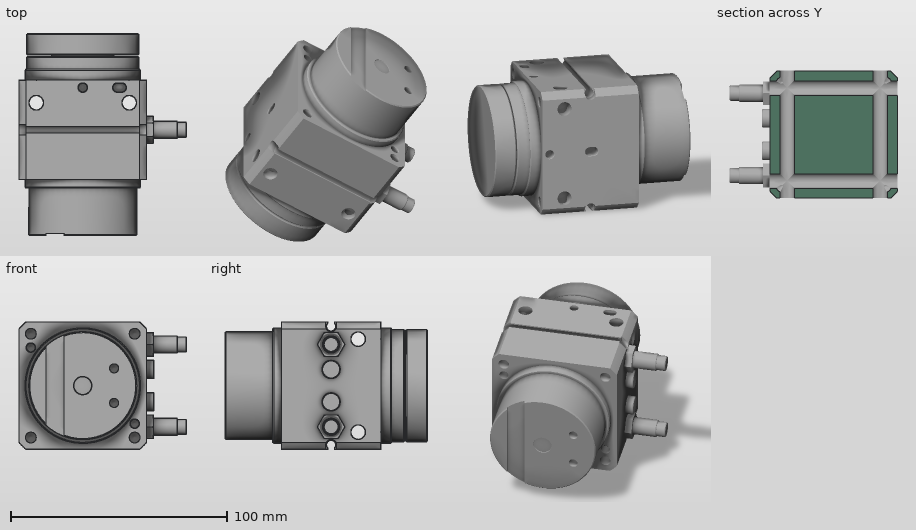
import cadquery as cq
import math

block_side = 59.0
block_length = 46.0
corner_diameter = 79.0
half_side = block_side / 2
half_length = block_length / 2
corner_edge = math.sqrt((corner_diameter / 2) ** 2 - half_side ** 2)

edge_chamfer = 0.5
collar_diameter = 53.5
front_collar_end = -27.0
rear_collar_end = 28.0
nose_diameter = 50.0
nose_end = -49.0
ring_diameter = 52.0
ring_end = 34.0

flange_gap = 0.5
flange_start = ring_end + flange_gap
flange_length = 10.0
flange_neck_diameter = 29.0

nose_slot_left = -16.9
nose_slot_right = -8.6
nose_slot_depth = 1.0
centre_recess_diameter = 8.2
centre_recess_rim = 8.5
centre_recess_depth = 0.3
nose_hole_diameter = 4.2
nose_hole_depth = 8.0
nose_hole_x = 14.5
nose_hole_z = 8.0

drill_tip_angle = 118.0
mount_hole_diameter = 5.0
mount_hole_depth = 12.0
mount_hole_offset = 24.0
dowel_diameter = 4.0
dowel_depth = 6.0
dowel_chamfer = 0.2
chamfer_angle = 45.0
front_dowel_z = 17.6

bore_diameter = 6.6
bore_offset = 21.5
bore_y = 12.5
side_dowel_y = 19.5
slot_travel = 2.0
top_slot_x = 17.0
side_slot_y = -0.5

groove_diameter = 4.2
groove_opening = 3.0
groove_axis_z = 27.4
groove_mouth_width = 5.0

plug_z = 19.05
nut_across_flats = 11.0
nut_thickness = 3.2
nut_bevel_diameter = 12.2
plug_diameter = 8.0
plug_end = 43.8
plug_tip_diameter = 7.0
plug_tip_end = 48.0
plug_chamfer = 0.3
screw_z = 7.5
screw_diameter = 8.5
screw_end = 33.0


def y_cylinder(diameter, start, end):
    """Cylinder on the Y axis between two Y positions, in either order."""
    plane = cq.Plane(origin=(0, start, 0), xDir=(1, 0, 0), normal=(0, math.copysign(1, end - start), 0))
    return cq.Workplane(plane).circle(diameter / 2).extrude(abs(end - start))


def x_cylinder(diameter, start, end, z):
    """Cylinder parallel to X, at Y = 0, between two X positions."""
    return cq.Workplane("YZ", origin=(start, 0, z)).circle(diameter / 2).extrude(end - start)


def drilled_hole(diameter, depth, x, face_y, z, chamfer=0.0):
    """Blind hole cut toward +Y with a conical bottom and a chamfered mouth."""
    radius = diameter / 2
    tip = radius / math.tan(math.radians(drill_tip_angle / 2))
    outline = cq.Workplane("XY").lineTo(radius + chamfer, 0)
    if chamfer:
        outline = outline.lineTo(radius, chamfer)
    outline = outline.lineTo(radius, depth).lineTo(0, depth + tip).close()
    return outline.revolve(360, (0, 0), (0, 1)).translate((x, face_y, z))


def dowel_cutter(plane, travel=0.0):
    """Round or slotted dowel recess with a chamfered mouth, cut inward from a plane facing outward."""

    def outline(width):
        if travel:
            return cq.Workplane(plane).slot2D(travel + width, width)
        return cq.Workplane(plane).circle(width / 2)

    recess = outline(dowel_diameter).extrude(-dowel_depth)
    mouth = outline(dowel_diameter + 2 * dowel_chamfer).extrude(-dowel_chamfer, taper=chamfer_angle)
    return recess.union(mouth)


def sensor_groove(side):
    """Keyhole groove along X, opened to the top (side = 1) or bottom (side = -1) face."""
    axis_z = side * groove_axis_z

    def channel(diameter, opening, start, end):
        opening_height = half_side - groove_axis_z
        bore = x_cylinder(diameter, start, end, axis_z)
        mouth = cq.Workplane("XY").box(end - start, opening, opening_height)
        mouth_z = axis_z + side * opening_height / 2
        return bore.union(mouth.translate(((start + end) / 2, 0, mouth_z)))

    groove = channel(groove_diameter, groove_opening, -half_side, half_side)
    for start, end in ((-half_side, -corner_edge), (corner_edge, half_side)):
        groove = groove.union(channel(groove_mouth_width, groove_mouth_width, start, end))
    return groove


def block():
    square = cq.Workplane("XY").box(block_side, block_length, block_side)
    return square.intersect(y_cylinder(corner_diameter, -half_length, half_length))


def turned_steps():
    front_collar = y_cylinder(collar_diameter, 0, front_collar_end).faces("<Y").chamfer(edge_chamfer)
    nose = y_cylinder(nose_diameter, 0, nose_end).faces("<Y").chamfer(edge_chamfer)
    rear_collar = y_cylinder(collar_diameter, 0, rear_collar_end).faces(">Y").chamfer(edge_chamfer)
    ring = y_cylinder(ring_diameter, 0, ring_end).faces(">Y").chamfer(edge_chamfer)
    return front_collar.union(nose).union(rear_collar).union(ring)


def cut_nose_face(body):
    slot_width = nose_slot_right - nose_slot_left
    slot = cq.Workplane("XY").box(slot_width, nose_slot_depth, nose_diameter).translate(
        (nose_slot_left + slot_width / 2, nose_end + nose_slot_depth / 2, 0)
    )
    recess = y_cylinder(centre_recess_rim, nose_end, nose_end + centre_recess_depth)
    rim_bevel = (centre_recess_rim - centre_recess_diameter) / 2
    recess = recess.faces(">Y").chamfer(rim_bevel)
    body = body.cut(slot).cut(recess)
    for z in (-nose_hole_z, nose_hole_z):
        body = body.cut(drilled_hole(nose_hole_diameter, nose_hole_depth, nose_hole_x, nose_end, z))
    return body


def cut_end_holes(body):
    for x in (-mount_hole_offset, mount_hole_offset):
        for z in (-mount_hole_offset, mount_hole_offset):
            hole = drilled_hole(mount_hole_diameter, mount_hole_depth, x, -half_length, z)
            body = body.cut(hole).cut(hole.mirror("XZ"))
    for side in (-1, 1):
        x = side * mount_hole_offset
        z = -side * front_dowel_z
        body = body.cut(drilled_hole(dowel_diameter, dowel_depth, x, -half_length, z, dowel_chamfer))
    return body


def cut_side_holes(body):
    bottom_face = cq.Workplane("XY", origin=(0, bore_y, -half_side))
    right_face = cq.Workplane("ZY", origin=(half_side, bore_y, 0))
    for face in (bottom_face, right_face):
        outline = face.pushPoints([(-bore_offset, 0), (bore_offset, 0)]).circle(bore_diameter / 2)
        body = body.cut(outline.extrude(block_side))

    top_normal = (0, 0, 1)
    top_round = cq.Plane(origin=(0, side_dowel_y, half_side), xDir=(1, 0, 0), normal=top_normal)
    top_slot = cq.Plane(origin=(top_slot_x, side_dowel_y, half_side), xDir=(1, 0, 0), normal=top_normal)
    side_normal = (-1, 0, 0)
    side_round = cq.Plane(origin=(-half_side, side_dowel_y, 0), xDir=(0, 1, 0), normal=side_normal)
    side_slot = cq.Plane(origin=(-half_side, side_slot_y, 0), xDir=(0, 1, 0), normal=side_normal)
    for plane in (top_round, side_round):
        body = body.cut(dowel_cutter(plane))
    for plane in (top_slot, side_slot):
        body = body.cut(dowel_cutter(plane, slot_travel))
    return body


def sensor_plug(z):
    """Hexagon nut with corners toward +Y and -Y, and a stepped round plug on it."""
    across_corners = nut_across_flats / math.cos(math.pi / 6)
    nut_end = half_side + nut_thickness
    nut = cq.Workplane("YZ", origin=(half_side, 0, z)).polygon(6, across_corners).extrude(nut_thickness)
    envelope = x_cylinder(across_corners, half_side, nut_end, z)
    envelope = envelope.faces(">X").chamfer((across_corners - nut_bevel_diameter) / 2)
    body = x_cylinder(plug_diameter, half_side, plug_end, z).faces(">X").chamfer(plug_chamfer)
    tip = x_cylinder(plug_tip_diameter, half_side, plug_tip_end, z).faces(">X").chamfer(plug_chamfer)
    return nut.intersect(envelope).union(body).union(tip)


def cover_screw(z):
    return x_cylinder(screw_diameter, half_side, screw_end, z).faces(">X").chamfer(plug_chamfer)


def build_housing():
    body = block().union(turned_steps())
    body = cut_nose_face(body)
    body = cut_end_holes(body)
    body = cut_side_holes(body)
    for side in (-1, 1):
        body = body.cut(sensor_groove(side))
        body = body.union(sensor_plug(side * plug_z)).union(cover_screw(side * screw_z))
    return body


def build_flange():
    disc = y_cylinder(ring_diameter, flange_start, flange_start + flange_length)
    disc = disc.faces("<Y or >Y").chamfer(edge_chamfer)
    neck = y_cylinder(flange_neck_diameter, ring_end, flange_start + flange_length / 2)
    return disc.union(neck)


housing = build_housing()
flange = build_flange()

result = cq.Compound.makeCompound([housing.val(), flange.val()])